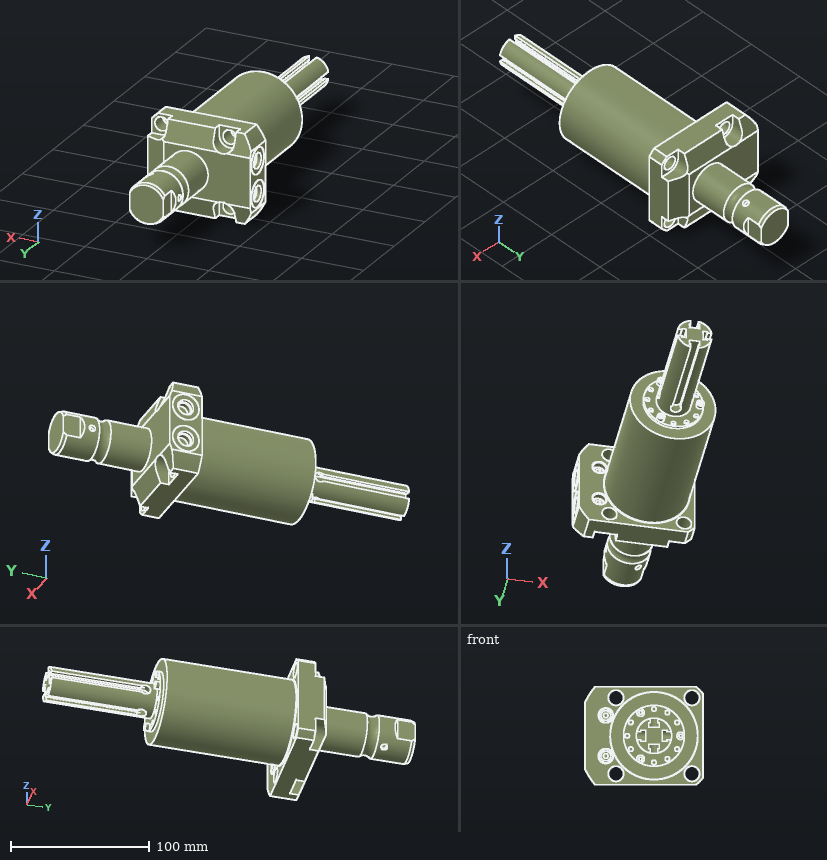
import cadquery as cq
import math


flange_thickness = 25.3
flange_height = 71.0
flange_width = 85.5
flange_half_height = flange_height / 2
flange_right = flange_half_height
flange_left = flange_right - flange_width
left_corner_radius = 55.5
right_corner_radius = 46.8
bevel_width = 15.8
bevel_depth = 5.7
bolt_offset = 27.5
bolt_hole_radius = 5.5
bolt_head_radius = 8.5
bolt_seat_y = 13.0
collar_radius = 31.8
collar_height = 0.5
port_spacing = 25.8
port_z = port_spacing / 2
port_y = flange_thickness / 2
port_spotface_radius = 10.3
port_spotface_depth = 0.3
port_mouth_radius = 6.0
port_mouth_depth = 3.8
port_bore_radius = 5.2
port_bore_depth = 9.2

throttle_x = -34.8
throttle_z = 14.7
throttle_mouth_radius = 5.5
throttle_bore_depth = 11.0
throttle_mouth_chamfer = 0.5
throttle_radius = throttle_mouth_radius - throttle_mouth_chamfer
throttle_sink = 4.4
throttle_edge_chamfer = 1.4
throttle_hex_width = 3.3
throttle_hex_depth = 3.3

barrel_radius = 31.5
barrel_length = 97.0
shank_radius = 16.0
shank_length = 68.2
shank_end_y = flange_thickness + shank_length
end_chamfer_length = 2.7
end_chamfer_height = 0.95
neck_start = 27.5
neck_length = 9.0
neck_depth = 1.77
flat_offset = 13.5
flat_length = 13.3
detent_from_end = 21.8
detent_radius = 2.3
detent_depth = 3.3
detent_count = 3

ring_radius = 22.0
ring_thickness = 2.5
ring_back_y = -barrel_length
ring_front_y = ring_back_y - ring_thickness
shaft_radius = 12.8
shaft_length = 78.9
shaft_end_y = ring_front_y - shaft_length
ring_hole_circle = 19.3
ring_hole_radius = 1.5
ring_hole_count = 12
ring_screw_spacing = 4
ring_screw_head_radius = 2.7
ring_screw_head_height = 3.3
ring_screw_hex_width = 2.5
ring_screw_hex_depth = 1.5
slot_count = 4
slot_core_width = 12.2
slot_floor = slot_core_width / 2
slot_foot_height = 3.3
slot_foot_width = 7.5
slot_neck_width = 5.7
slot_entry_from_ring = 8.7


def rod(radius, start_y, end_y, x=0, z=0):
    """Round rod parallel to Y between two Y positions."""
    axis = cq.Vector(0, math.copysign(1, end_y - start_y), 0)
    return cq.Workplane(cq.Solid.makeCylinder(radius, abs(end_y - start_y), cq.Vector(x, start_y, z), axis))


def block(x_range, y_range, z_range):
    """Box between two positions on each axis."""
    size = [high - low for low, high in (x_range, y_range, z_range)]
    low_corner = cq.Vector(x_range[0], y_range[0], z_range[0])
    return cq.Workplane(cq.Solid.makeBox(*size, low_corner))


def hex_socket(width, front_y, depth, x, z):
    """Hexagonal cutter of a width across flats, going in from front_y toward +Y."""
    across_corners = width / math.cos(math.pi / 6)
    plane = cq.Plane(origin=(x, front_y, z), xDir=(1, 0, 0), normal=(0, 1, 0))
    return cq.Workplane(plane).polygon(6, across_corners).extrude(depth)



def flange_plate():
    """Plate whose corners are rounded about the main axis, with three bevelled rear edges."""
    top = flange_half_height
    left_x = -math.sqrt(left_corner_radius**2 - top**2)
    left_z = math.sqrt(left_corner_radius**2 - flange_left**2)
    right_x = math.sqrt(right_corner_radius**2 - top**2)
    right_z = math.sqrt(right_corner_radius**2 - flange_right**2)

    def arc_middle(radius, start, end):
        middle = cq.Vector(start[0] + end[0], start[1] + end[1]).normalized() * radius
        return (middle.x, middle.y)

    def left_arc(outline, start, end):
        return outline.threePointArc(arc_middle(left_corner_radius, start, end), end)

    def right_arc(outline, start, end):
        return outline.threePointArc(arc_middle(right_corner_radius, start, end), end)

    outline = cq.Workplane("XZ").moveTo(left_x, top).lineTo(right_x, top)
    outline = right_arc(outline, (right_x, top), (flange_right, right_z)).lineTo(flange_right, -right_z)
    outline = right_arc(outline, (flange_right, -right_z), (right_x, -top)).lineTo(left_x, -top)
    outline = left_arc(outline, (left_x, -top), (flange_left, -left_z)).lineTo(flange_left, left_z)
    outline = left_arc(outline, (flange_left, left_z), (left_x, top)).close()
    plate = outline.extrude(-flange_thickness)

    bevel = (
        cq.Workplane("XY")
        .moveTo(flange_right - bevel_width, flange_thickness)
        .lineTo(flange_right, flange_thickness)
        .lineTo(flange_right, flange_thickness - bevel_depth)
        .close()
        .extrude(left_corner_radius, both=True)
    )
    for angle in (0, 90, -90):
        plate = plate.cut(bevel.rotate((0, 0, 0), (0, 1, 0), angle))
    return plate


def cut_bolt_holes(plate):
    """Four through holes; their head seats run out to the nearest sides of the plate."""
    seat_y = (bolt_seat_y, flange_thickness)
    reach = flange_width
    for x in (-bolt_offset, bolt_offset):
        for side in (-1, 1):
            z = side * bolt_offset
            plate = plate.cut(rod(bolt_hole_radius, 0, flange_thickness, x, z))
            plate = plate.cut(rod(bolt_head_radius, *seat_y, x, z))
            outward_z = sorted((z, side * reach))
            plate = plate.cut(block((x - bolt_head_radius, x + bolt_head_radius), seat_y, outward_z))
            if x > 0:
                inner_z = z - side * bolt_head_radius
                plate = plate.cut(block((x, reach), seat_y, sorted((inner_z, side * reach))))
    return plate


def cut_ports(plate):
    """Two stepped ports with shallow spotfaces in the -X side."""
    steps = (
        (port_spotface_radius, port_spotface_depth),
        (port_mouth_radius, port_mouth_depth),
        (port_bore_radius, port_bore_depth),
    )
    for z in (-port_z, port_z):
        for radius, depth in steps:
            mouth = cq.Vector(flange_left, port_y, z)
            plate = plate.cut(cq.Workplane(cq.Solid.makeCylinder(radius, depth, mouth, cq.Vector(1, 0, 0))))
    return plate


def cut_throttle_bores(plate):
    """Two blind bores with chamfered mouths that hold the throttle screws."""
    for z in (-throttle_z, throttle_z):
        bore = rod(throttle_radius, 0, throttle_bore_depth, throttle_x, z)
        mouth = cq.Solid.makeCone(
            throttle_mouth_radius,
            throttle_radius,
            throttle_mouth_chamfer,
            cq.Vector(throttle_x, 0, z),
            cq.Vector(0, 1, 0),
        )
        plate = plate.cut(bore).cut(cq.Workplane(mouth))
    return plate


def make_flange():
    """Flange plate with all its holes and a low collar around the foot of the barrel."""
    plate = cut_bolt_holes(flange_plate())
    plate = cut_ports(plate)
    plate = cut_throttle_bores(plate)
    return plate.union(rod(collar_radius, -collar_height, 0))



def turned_barrel():
    """Barrel and rear shank as one turned profile, with a round neck and a chamfered end."""
    neck_rear_y = shank_end_y - neck_start
    neck_front_y = neck_rear_y - neck_length
    neck_middle = (shank_radius - neck_depth, neck_rear_y - neck_length / 2)
    return (
        cq.Workplane("XY")
        .moveTo(0, -barrel_length)
        .lineTo(barrel_radius, -barrel_length)
        .lineTo(barrel_radius, 0)
        .lineTo(shank_radius, 0)
        .lineTo(shank_radius, neck_front_y)
        .threePointArc(neck_middle, (shank_radius, neck_rear_y))
        .lineTo(shank_radius, shank_end_y - end_chamfer_length)
        .lineTo(shank_radius - end_chamfer_height, shank_end_y)
        .lineTo(0, shank_end_y)
        .close()
        .revolve(360, (0, 0), (0, 1))
    )


def cut_wrench_flats(barrel):
    """Flats on both X sides of the shank end, running out at 45 degrees."""
    runout = shank_radius - flat_offset
    flat_end_y = shank_end_y - flat_length
    flat = (
        cq.Workplane("XY")
        .moveTo(flat_offset, shank_end_y)
        .lineTo(flat_offset, flat_end_y)
        .lineTo(shank_radius, flat_end_y - runout)
        .lineTo(shank_radius, shank_end_y)
        .close()
        .extrude(shank_radius, both=True)
    )
    return barrel.cut(flat).cut(flat.mirror("YZ"))


def cut_detents(barrel):
    """Small radial holes with conical bottoms around the shank, the first on the -X side."""
    detent = (
        cq.Workplane("XY")
        .lineTo(0, detent_radius)
        .lineTo(detent_depth, detent_radius)
        .lineTo(detent_depth + detent_radius, 0)
        .close()
        .revolve(360, (0, 0), (1, 0))
        .rotate((0, 0, 0), (0, 1, 0), 180)
        .translate((shank_radius, shank_end_y - detent_from_end, 0))
    )
    for number in range(detent_count):
        angle = 180 + number * 360 / detent_count
        barrel = barrel.cut(detent.rotate((0, 0, 0), (0, 1, 0), angle))
    return barrel


def make_barrel():
    return cut_detents(cut_wrench_flats(turned_barrel()))



def t_slot():
    """Cutter for the +Z T-slot: round entry hole, wide foot and narrow neck out to the shaft end."""
    entry_y = ring_front_y - slot_entry_from_ring
    run = (shaft_end_y, entry_y)
    foot_half = slot_foot_width / 2
    neck_half = slot_neck_width / 2
    entry = cq.Workplane("XY", origin=(0, entry_y, slot_floor)).circle(foot_half).extrude(shaft_radius)
    foot = block((-foot_half, foot_half), run, (slot_floor, slot_floor + slot_foot_height))
    neck = block((-neck_half, neck_half), run, (slot_floor, slot_floor + shaft_radius))
    return entry.union(foot).union(neck)


def finish_ring(shaft):
    """Circle of holes through the ring, with a screw head in every fourth place."""
    for number in range(ring_hole_count):
        angle = number * 2 * math.pi / ring_hole_count
        x = ring_hole_circle * math.cos(angle)
        z = ring_hole_circle * math.sin(angle)
        if number % ring_screw_spacing == 0:
            head_front_y = ring_front_y - ring_screw_head_height
            shaft = shaft.union(rod(ring_screw_head_radius, head_front_y, ring_front_y, x, z))
            shaft = shaft.cut(hex_socket(ring_screw_hex_width, head_front_y, ring_screw_hex_depth, x, z))
        else:
            shaft = shaft.cut(rod(ring_hole_radius, ring_front_y, ring_back_y, x, z))
    return shaft


def make_shaft():
    shaft = rod(ring_radius, ring_front_y, ring_back_y).union(rod(shaft_radius, shaft_end_y, ring_back_y))
    slot = t_slot()
    for number in range(slot_count):
        shaft = shaft.cut(slot.rotate((0, 0, 0), (0, 1, 0), number * 360 / slot_count))
    return finish_ring(shaft)



def make_housing():
    """The flange, the barrel with its shank, and the slotted shaft as one solid."""
    return make_flange().union(make_barrel()).union(make_shaft())


def make_throttle_screw(z):
    """Round screw with a chamfered front edge and a hexagon socket, seated on the bore floor."""
    screw = rod(throttle_radius, throttle_sink, throttle_bore_depth, throttle_x, z)
    screw = screw.faces("<Y").chamfer(throttle_edge_chamfer)
    return screw.cut(hex_socket(throttle_hex_width, throttle_sink, throttle_hex_depth, throttle_x, z))


housing = make_housing()
throttle_screws = [make_throttle_screw(z).solids().val() for z in (-throttle_z, throttle_z)]

result = cq.Compound.makeCompound([housing.solids().val(), *throttle_screws])